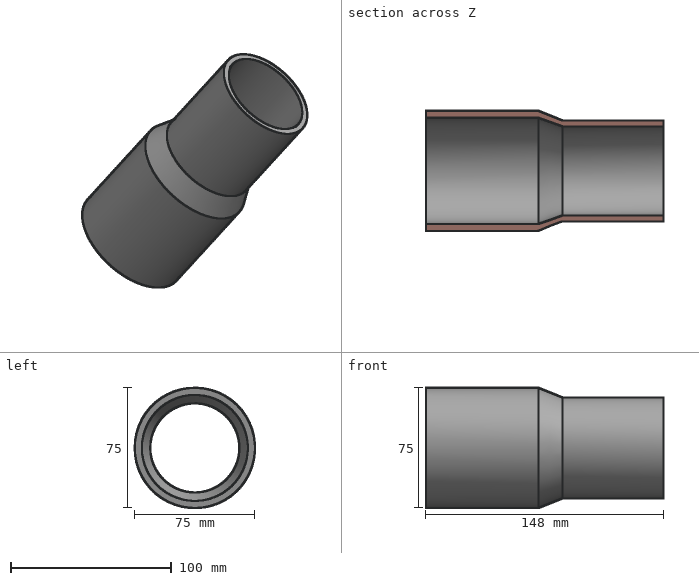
import cadquery as cq

total_length = 148.0
socket_length = 70.0
spigot_length = 63.0
socket_outer_diameter = 75.0
socket_bore_diameter = 66.0
spigot_outer_diameter = 63.0
spigot_bore_diameter = 55.4

neck_start = socket_length
neck_end = total_length - spigot_length


def stepped_body(socket_diameter, spigot_diameter):
    """Solid of revolution about X: two cylinders joined by a cone."""
    socket_radius = socket_diameter / 2
    spigot_radius = spigot_diameter / 2
    return (
        cq.Workplane("XY")
        .lineTo(0, socket_radius)
        .lineTo(neck_start, socket_radius)
        .lineTo(neck_end, spigot_radius)
        .lineTo(total_length, spigot_radius)
        .lineTo(total_length, 0)
        .close()
        .revolve(360, (0, 0, 0), (1, 0, 0))
    )


outer_body = stepped_body(socket_outer_diameter, spigot_outer_diameter)
through_bore = stepped_body(socket_bore_diameter, spigot_bore_diameter)

result = outer_body.cut(through_bore)